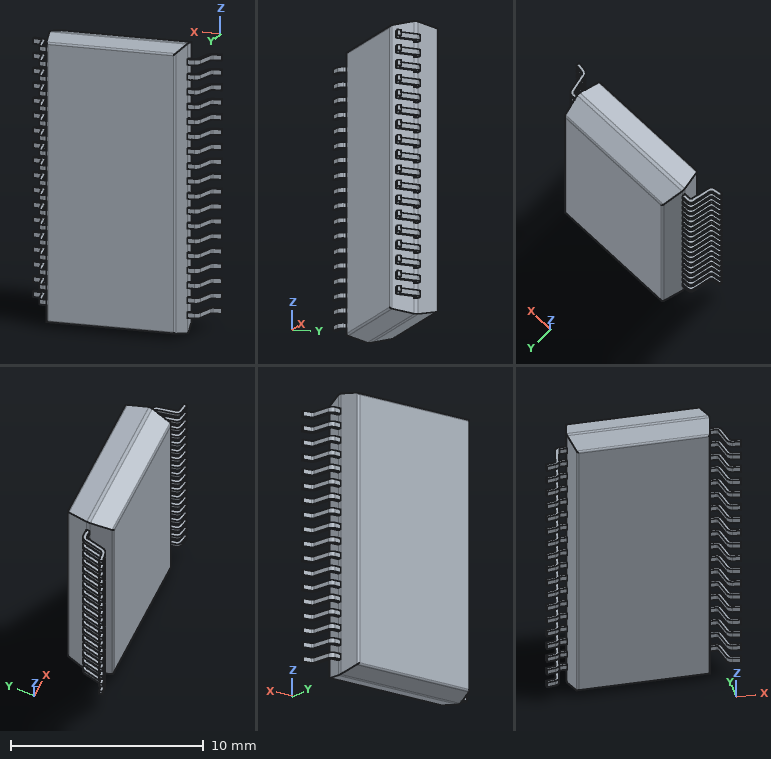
import math

import cadquery as cq

body_width = 7.6
body_length = 15.55
body_thickness = 2.65
band_thickness = 0.2
draft_angle = 12.0
face_fillet = 0.11
half_depth = (body_thickness - band_thickness) / 2

leads_per_side = 18
lead_pitch = 0.8
lead_width = 0.3
lead_thickness = band_thickness
lead_span = 10.39
overall_height = 2.8
leg_lean = 12.0
foot_droop = 9.0
shoulder_end = 4.17
upper_bend_radius = 0.17
lower_bend_radius = 0.22
lead_embed = 0.3


def make_body_half(direction):
    """Drafted half of the body on the +Y (1) or -Y (-1) side of the band."""
    normal = (0, direction, 0)
    origin = (0, direction * band_thickness / 2, 0)
    half = (
        cq.Workplane(cq.Plane(origin=origin, xDir=(1, 0, 0), normal=normal))
        .rect(body_width, body_length)
        .extrude(half_depth, taper=draft_angle)
    )
    outer_face = ">Y" if direction > 0 else "<Y"
    return half.faces(outer_face).edges().fillet(face_fillet)


def make_body():
    band = cq.Workplane("XY").box(body_width, band_thickness, body_length)
    return band.union(make_body_half(1)).union(make_body_half(-1))


def point_on_circle(center, radius, angle):
    """Point at the given angle (radians, from +X) on a circle."""
    return (center[0] + radius * math.cos(angle), center[1] + radius * math.sin(angle))


def make_lead():
    """One lead on the +X side, centred on Z = 0."""
    leg_pitch = math.radians(90 - leg_lean)
    foot_pitch = math.radians(foot_droop)
    quarter_turn = math.pi / 2
    half_thickness = lead_thickness / 2

    tip_x = lead_span / 2 - half_thickness * math.sin(foot_pitch)
    tip_y = body_thickness / 2 - overall_height + half_thickness * math.cos(foot_pitch)

    upper_center = (shoulder_end, -upper_bend_radius)
    upper_middle = point_on_circle(upper_center, upper_bend_radius, quarter_turn - leg_pitch / 2)
    upper_end = point_on_circle(upper_center, upper_bend_radius, quarter_turn - leg_pitch)

    bend_run = lower_bend_radius * (math.sin(leg_pitch) - math.sin(foot_pitch))
    bend_drop = lower_bend_radius * (math.cos(foot_pitch) - math.cos(leg_pitch))
    straight_run = tip_x - upper_end[0] - bend_run
    straight_drop = upper_end[1] - tip_y - bend_drop
    turn = math.sin(leg_pitch - foot_pitch)
    leg_length = (straight_drop * math.cos(foot_pitch) - straight_run * math.sin(foot_pitch)) / turn
    leg_end = (
        upper_end[0] + leg_length * math.cos(leg_pitch),
        upper_end[1] - leg_length * math.sin(leg_pitch),
    )

    lower_center = point_on_circle(leg_end, lower_bend_radius, quarter_turn - leg_pitch)
    middle_pitch = (leg_pitch + foot_pitch) / 2
    lower_middle = point_on_circle(lower_center, lower_bend_radius, -quarter_turn - middle_pitch)
    lower_end = point_on_circle(lower_center, lower_bend_radius, -quarter_turn - foot_pitch)

    start_x = body_width / 2 - lead_embed
    centreline = (
        cq.Workplane("XY")
        .moveTo(start_x, 0)
        .lineTo(shoulder_end, 0)
        .threePointArc(upper_middle, upper_end)
        .lineTo(*leg_end)
        .threePointArc(lower_middle, lower_end)
        .lineTo(tip_x, tip_y)
    )
    section = cq.Workplane("YZ", origin=(start_x, 0, 0)).rect(lead_thickness, lead_width)
    return section.sweep(centreline)


def make_leads():
    """All leads of both rows, evenly spaced along Z."""
    right_lead = make_lead()
    left_lead = right_lead.mirror("YZ")
    first_z = -lead_pitch * (leads_per_side - 1) / 2
    leads = cq.Workplane("XY")
    for index in range(leads_per_side):
        offset = (0, 0, first_z + index * lead_pitch)
        leads = leads.add(right_lead.translate(offset)).add(left_lead.translate(offset))
    return leads


result = make_body()
for lead in make_leads().vals():
    result = result.union(cq.Workplane(lead))